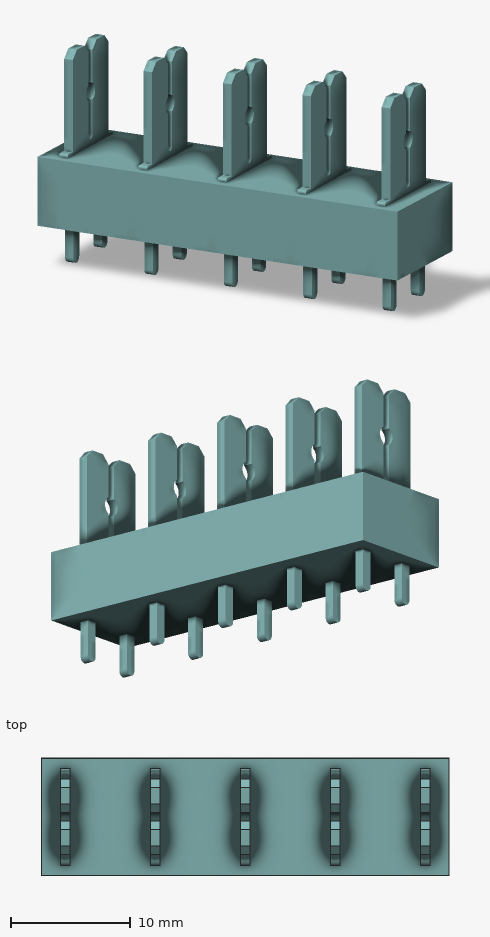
import cadquery as cq

housing_length = 34.0
housing_width = 9.8
housing_height = 6.0

contact_count = 5
contact_thickness = 0.8
end_margin = 2.0
contact_pitch = (housing_length - 2 * end_margin) / (contact_count - 1)

leg_width = 1.0
leg_spacing = 5.0
leg_projection = 3.5

shoulder_width = 8.1
shoulder_height = 0.3
shoulder_corner_radius = 0.2

blade_width = 6.3
blade_height = 9.0
blade_chamfer = 0.7

slot_width = 0.7
slot_floor_height = 0.6
slot_hole_diameter = 1.6
slot_hole_height = 4.7

contact_positions = [
    (index - (contact_count - 1) / 2) * contact_pitch for index in range(contact_count)
]
leg_positions = [-leg_spacing / 2, leg_spacing / 2]


def make_housing():
    """Rectangular block with one through hole for every leg."""
    block = cq.Workplane("XY").box(
        housing_length, housing_width, housing_height, centered=(True, True, False)
    )
    leg_holes = (
        cq.Workplane("XY")
        .pushPoints([(x, y) for x in contact_positions for y in leg_positions])
        .rect(contact_thickness, leg_width)
        .extrude(housing_height)
    )
    return block.cut(leg_holes)


def flat_box(width, height, bottom_z):
    """Plate of contact thickness, centred on Y = 0 and rising from bottom_z."""
    return (
        cq.Workplane("XY", origin=(0, 0, bottom_z))
        .box(contact_thickness, width, height, centered=(True, True, False))
    )


def flat_cylinder(diameter, center_z):
    """Disc of contact thickness, with its axis along X."""
    return (
        cq.Workplane("YZ", origin=(-contact_thickness / 2, 0, center_z))
        .circle(diameter / 2)
        .extrude(contact_thickness)
    )


def make_leg():
    """Straight leg from the housing top down to a full-round tip."""
    tip_center_z = -leg_projection + leg_width / 2
    shank = flat_box(leg_width, housing_height - tip_center_z, tip_center_z)
    return shank.union(flat_cylinder(leg_width, tip_center_z))


def make_shoulder():
    """Low cross bar with rounded upper end corners."""
    bar = flat_box(shoulder_width, shoulder_height, housing_height)
    return bar.faces(">Z").edges("|X").fillet(shoulder_corner_radius)


def make_blade_slot():
    """Round-bottomed slot, open at the blade top, with the hole across it."""
    floor_center_z = housing_height + slot_floor_height + slot_width / 2
    blade_top_z = housing_height + blade_height
    slot = flat_box(slot_width, blade_top_z - floor_center_z, floor_center_z)
    slot = slot.union(flat_cylinder(slot_width, floor_center_z))
    return slot.union(flat_cylinder(slot_hole_diameter, housing_height + slot_hole_height))


def make_contact():
    """One flat contact centred on X = 0: split blade, shoulder and two legs."""
    contact = flat_box(blade_width, blade_height, housing_height).union(make_shoulder())
    contact = contact.cut(make_blade_slot())
    contact = contact.faces(">Z").edges("|X").chamfer(blade_chamfer)
    for y in leg_positions:
        contact = contact.union(make_leg().translate((0, y, 0)))
    return contact


housing = make_housing()
contact = make_contact()
contacts = [contact.translate((x, 0, 0)) for x in contact_positions]

result = cq.Compound.makeCompound([housing.solids().val(), *[copy.solids().val() for copy in contacts]])